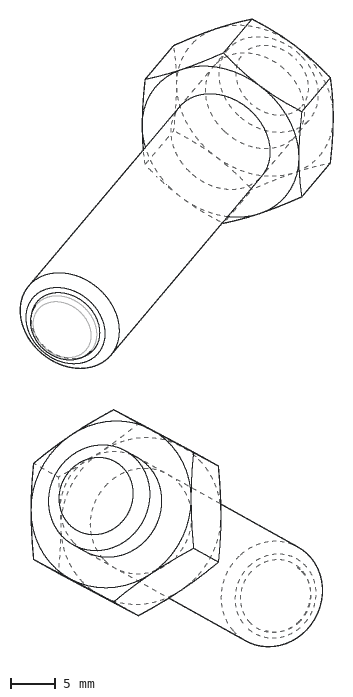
import cadquery as cq
import math

overall_length = 61.0
bolt_radius = 12.0 / 2
front_chamfer = 1.2
rear_chamfer_length = 1.05
rear_face_radius = 4.4

tip_radius = 8.0 / 2
tip_root_radius = 4.15
tip_length = 1.0
tip_edge_radius = 0.5

nut_across_flats = 19.0
nut_across_corners = nut_across_flats / math.cos(math.radians(30))
nut_thickness = 10.0
nut_rear_gap = 5.0
nut_chamfer_angle = 30

front_y = -overall_length / 2
rear_y = overall_length / 2
nut_rear_y = rear_y - nut_rear_gap
nut_front_y = nut_rear_y - nut_thickness


def revolve_about_y(profile):
    """Turn a closed (radius, y) profile about the Y axis."""
    return profile.close().revolve(360, (0, 0, 0), (0, 1, 0))


def make_bolt():
    """Shank with chamfered ends and a stepped tip."""
    shoulder_y = front_y + tip_length
    diagonal = math.sqrt(0.5)
    edge_mid = (
        tip_radius - tip_edge_radius * (1 - diagonal),
        front_y + tip_edge_radius * (1 - diagonal),
    )
    profile = (
        cq.Workplane("XY")
        .moveTo(0, front_y)
        .lineTo(tip_radius - tip_edge_radius, front_y)
        .threePointArc(edge_mid, (tip_radius, front_y + tip_edge_radius))
        .lineTo(tip_root_radius, shoulder_y)
        .lineTo(bolt_radius - front_chamfer, shoulder_y)
        .lineTo(bolt_radius, shoulder_y + front_chamfer)
        .lineTo(bolt_radius, rear_y - rear_chamfer_length)
        .lineTo(rear_face_radius, rear_y)
        .lineTo(0, rear_y)
    )
    return revolve_about_y(profile)


def make_nut():
    """Hexagon prism with conical corner chamfers and a bore fitting the shank."""
    face_radius = nut_across_flats / 2
    corner_radius = nut_across_corners / 2
    chamfer_length = (corner_radius - face_radius) * math.tan(math.radians(nut_chamfer_angle))
    hexagon = (
        cq.Workplane("XZ", origin=(0, nut_rear_y, 0))
        .transformed(rotate=(0, 0, 90))
        .polygon(6, nut_across_corners)
        .extrude(nut_thickness)
    )
    ring = revolve_about_y(
        cq.Workplane("XY")
        .moveTo(bolt_radius, nut_front_y)
        .lineTo(face_radius, nut_front_y)
        .lineTo(corner_radius, nut_front_y + chamfer_length)
        .lineTo(corner_radius, nut_rear_y - chamfer_length)
        .lineTo(face_radius, nut_rear_y)
        .lineTo(bolt_radius, nut_rear_y)
    )
    return hexagon.intersect(ring)


bolt = make_bolt()
nut = make_nut()
result = cq.Compound.makeCompound([bolt.val(), *nut.solids().vals()])